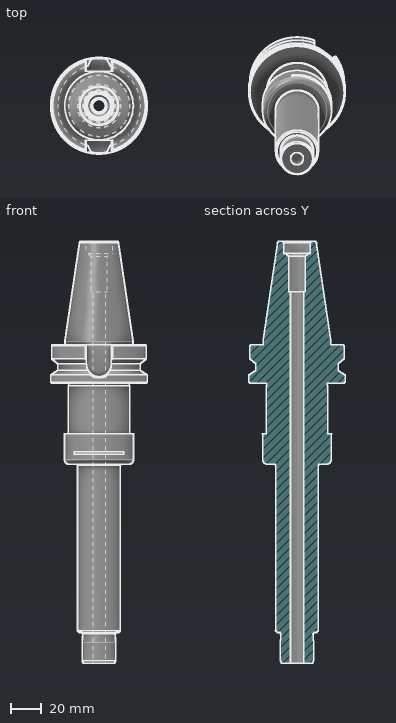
import cadquery as cq

total_height = 275.0

gauge_z = 209.7
gauge_diameter = 44.5
taper_ratio = 7 / 24
tip_chamfer_height = 1.0
tip_chamfer_width = 0.5
tip_diameter = gauge_diameter - taper_ratio * (total_height - gauge_z)

flange_top_z = 207.5
flange_bottom_z = 182.3
flange_diameter = 63.0
upper_rim_diameter = 61.9
groove_diameter = 54.0
upper_rim_bottom_z = 198.2
groove_top_z = 195.0
groove_bottom_z = 190.8
lower_rim_top_z = 187.8
flange_chamfer = 0.8

slot_width = 16.2
slot_floor_offset = 22.5
slot_bottom_z = 186.7
slot_edge_chamfer = 0.8
position_tolerance = 0.03

body_diameter = 40.0
neck_diameter = 39.5
neck_bottom_z = 180.5
nut_diameter = 45.0
nut_top_z = 149.5
nut_bottom_z = 129.5
nut_fillet = 3.3
collar_diameter = 28.5
collar_height = 0.5

mark_bottom_z = 136.0
mark_height = 1.6
mark_depth = 0.5
mark_width = 32.2

rod_diameter = 28.0
rod_bottom_z = 20.0
rod_chamfer = 1.0
nose_diameter = 22.0
nose_taper_start_z = 13.7
nose_taper_end_z = 19.2
nose_taper_end_diameter = 21.2
nose_chamfer_height = 1.6
nose_chamfer_width = 0.8

mouth_diameter = 19.2
mouth_chamfer = 1.0
socket_diameter = 17.0
socket_depth = 8.0
countersink_diameter = 15.0
countersink_height = 2.0
pilot_diameter = 10.5
pilot_depth = 33.0
coolant_diameter = 8.2


def revolve_about_z(outline):
    return outline.close().revolve(360, (0, 0), (0, 1))


def outer_body():
    """Solid of revolution, outlined from the nose up to the taper tip."""
    nose_r = nose_diameter / 2
    rod_r = rod_diameter / 2
    nut_r = nut_diameter / 2
    neck_r = neck_diameter / 2
    body_r = body_diameter / 2
    flange_r = flange_diameter / 2
    upper_r = upper_rim_diameter / 2
    groove_r = groove_diameter / 2
    gauge_r = gauge_diameter / 2
    tip_r = tip_diameter / 2
    outline = (
        cq.Workplane("XZ")
        .lineTo(nose_r - nose_chamfer_width, 0)
        .lineTo(nose_r, nose_chamfer_height)
        .lineTo(nose_r, nose_taper_start_z)
        .lineTo(nose_taper_end_diameter / 2, nose_taper_end_z)
        .lineTo(nose_r, nose_taper_end_z)
        .lineTo(nose_r, rod_bottom_z)
        .lineTo(rod_r - rod_chamfer, rod_bottom_z)
        .lineTo(rod_r, rod_bottom_z + rod_chamfer)
        .lineTo(rod_r, nut_bottom_z - collar_height)
        .lineTo(collar_diameter / 2, nut_bottom_z - collar_height)
        .lineTo(collar_diameter / 2, nut_bottom_z)
        .lineTo(nut_r - nut_fillet, nut_bottom_z)
        .radiusArc((nut_r, nut_bottom_z + nut_fillet), -nut_fillet)
        .lineTo(nut_r, nut_top_z)
        .lineTo(body_r, nut_top_z)
        .lineTo(body_r, neck_bottom_z)
        .lineTo(neck_r, neck_bottom_z)
        .lineTo(neck_r, flange_bottom_z)
        .lineTo(flange_r - flange_chamfer, flange_bottom_z)
        .lineTo(flange_r, flange_bottom_z + flange_chamfer)
        .lineTo(flange_r, lower_rim_top_z)
        .lineTo(groove_r, groove_bottom_z)
        .lineTo(groove_r, groove_top_z)
        .lineTo(upper_r, upper_rim_bottom_z)
        .lineTo(upper_r, flange_top_z - flange_chamfer)
        .lineTo(upper_r - flange_chamfer, flange_top_z)
        .lineTo(gauge_r, flange_top_z)
        .lineTo(gauge_r, gauge_z)
        .lineTo(tip_r, total_height - tip_chamfer_height)
        .lineTo(tip_r - tip_chamfer_width, total_height)
        .lineTo(0, total_height)
    )
    return revolve_about_z(outline)


def bore():
    """Through bore: coolant hole, pilot hole, countersink, socket and mouth chamfer."""
    socket_z = total_height - socket_depth
    pilot_z = total_height - pilot_depth
    outline = (
        cq.Workplane("XZ")
        .lineTo(coolant_diameter / 2, 0)
        .lineTo(coolant_diameter / 2, pilot_z)
        .lineTo(pilot_diameter / 2, pilot_z)
        .lineTo(pilot_diameter / 2, socket_z - countersink_height)
        .lineTo(countersink_diameter / 2, socket_z)
        .lineTo(socket_diameter / 2, socket_z)
        .lineTo(socket_diameter / 2, total_height - mouth_chamfer)
        .lineTo(mouth_diameter / 2, total_height)
        .lineTo(0, total_height)
    )
    return revolve_about_z(outline)


def drive_slot(side):
    """Round-bottomed slot, open at the flange top; side is -1 or +1 along Y."""
    r = slot_width / 2
    return (
        cq.Workplane("XZ", origin=(0, side * slot_floor_offset, 0))
        .moveTo(-r, flange_top_z)
        .lineTo(-r, slot_bottom_z + r)
        .threePointArc((0, slot_bottom_z), (r, slot_bottom_z + r))
        .lineTo(r, flange_top_z)
        .close()
        .extrude(-side * flange_diameter)
    )


def nut_mark():
    """Thin ring segment at the nut surface, cut off to the mark width on the -Y side."""
    ring = (
        cq.Workplane("XY", origin=(0, 0, mark_bottom_z))
        .circle(nut_diameter)
        .circle(nut_diameter / 2 - mark_depth)
        .extrude(mark_height)
    )
    window = (
        cq.Workplane("XY", origin=(0, -nut_diameter / 2, mark_bottom_z))
        .rect(mark_width, nut_diameter)
        .extrude(mark_height)
    )
    return ring.intersect(window)


def slot_rim_edges(body):
    """Edges where the slots meet the flange top and the outside of both rims."""
    half = slot_width / 2
    edges = []
    for edge in body.edges().vals():
        at = edge.Center()
        beyond_floor = abs(at.y) > slot_floor_offset + flange_chamfer
        on_wall = abs(abs(at.x) - half) < position_tolerance and at.z > upper_rim_bottom_z
        on_round_end = abs(at.x) < half and slot_bottom_z < at.z < lower_rim_top_z
        if beyond_floor and (on_wall or on_round_end):
            edges.append(edge)
    return edges


result = outer_body().cut(bore()).cut(nut_mark())
for side in (-1, 1):
    result = result.cut(drive_slot(side))
result = result.newObject(slot_rim_edges(result)).chamfer(slot_edge_chamfer)